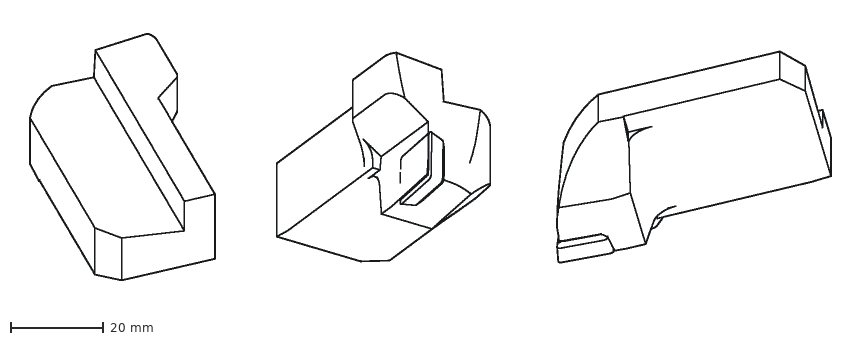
import cadquery as cq
import math

LENGTH = 61.0
WIDTH = 32.8
HEIGHT = 31.7

FRONT_TOP_Z = 26.15
STEP_Y = 19.0
STEP_Z = 23.5
SHANK_BOTTOM_Z = 13.2
SHANK_BACK_Y = 26.1
OVERHANG_Z = 22.25
NECK_TOP_Y = 23.9
NECK_TOP_Z = 16.5
NECK_BOTTOM_Z = 1.0
OVERHANG_SLOPE = (OVERHANG_Z - NECK_TOP_Z) / (WIDTH - NECK_TOP_Y)
RAKE_ANGLE = 4.4

NOSE_START_X = 15.7
NOSE_MIDDLE = (6.5, 7.45)
NOSE_END = (1.3, 20.1)
BACK_CORNER_X = 2.3
BACK_CORNER_R = 4.25
SHOULDER_TOP_X = 19.75
SHOULDER_FOOT_X = 25.35
SHOULDER_R = 1.8
END_CHAMFER = 4.5
END_RISE = 0.55

NECK_BACK_X = 22.5
NECK_FOOT_X = 19.6
GULLET_R = 5.25
OVERHANG_R = 5.25
GULLET_SIDE_Y = 4.0
GULLET_END_X = 21.95
RELIEF_TIP_Z = 2.7
RELIEF_END_X = 15.25
SLANT_X = 21.35
SLANT_TOP_Z = 12.8
SLANT_SLOPE = 0.97
SLANT_FALL = 0.09

NOSE_LINE_START = cq.Vector(2.85, 23.8, 16.5)
NOSE_LINE_STEP = cq.Vector(1.35, -12.55, -0.9)
NOSE_LINE_STEPS = 4
NOSE_UPPER_LEAN = 0.11
NOSE_LOWER_LEAN = 0.13

INSERT_SIDE = 12.55
INSERT_CORNER_R = 0.9
FLANK_DEPTH = 3.3
FLANK_ANGLE = 10.0
BEVEL_DEPTH = 1.0
INSERT_TURN = 5.5
INSERT_CENTER = (6.75, 24.6, 6.75)
NECK_PROUD = 0.25

MARGIN = 12.2


def skew_prism(points, direction):
    """Solid swept from a flat polygon along a free direction."""
    wire = cq.Wire.makePolygon([cq.Vector(*p) for p in points], close=True)
    return cq.Workplane(obj=cq.Solid.extrudeLinear(wire, [], direction))


def plan_prism():
    return (
        cq.Workplane("XY")
        .moveTo(NOSE_START_X, 0)
        .threePointArc(NOSE_MIDDLE, NOSE_END)
        .lineTo(NOSE_END[0], WIDTH - BACK_CORNER_R)
        .lineTo(BACK_CORNER_X, WIDTH - BACK_CORNER_R)
        .radiusArc((BACK_CORNER_X + BACK_CORNER_R, WIDTH), BACK_CORNER_R)
        .lineTo(SHOULDER_TOP_X, WIDTH)
        .lineTo(SHOULDER_FOOT_X, SHANK_BACK_Y)
        .lineTo(LENGTH, SHANK_BACK_Y)
        .lineTo(LENGTH, END_CHAMFER)
        .lineTo(LENGTH - END_CHAMFER, 0)
        .close()
        .extrude(HEIGHT)
        .edges(cq.selectors.NearestToPointSelector((SHOULDER_TOP_X, WIDTH, HEIGHT / 2)))
        .fillet(SHOULDER_R)
    )


UPPER_SECTION = [
    (0, FRONT_TOP_Z),
    (STEP_Y, STEP_Z),
    (STEP_Y, HEIGHT),
    (WIDTH, HEIGHT),
    (WIDTH, OVERHANG_Z),
]


def shank_section():
    overhang_foot_z = OVERHANG_Z - OVERHANG_SLOPE * (WIDTH - SHANK_BACK_Y)
    middle_x = (GULLET_END_X + LENGTH) / 2
    lower = [(SHANK_BACK_Y, overhang_foot_z), (SHANK_BACK_Y, SHANK_BOTTOM_Z), (0, SHANK_BOTTOM_Z)]
    return (
        cq.Workplane("YZ", origin=(GULLET_END_X, 0, 0))
        .polyline(UPPER_SECTION + lower)
        .close()
        .extrude(LENGTH - GULLET_END_X)
        .edges(cq.selectors.NearestToPointSelector((middle_x, SHANK_BACK_Y, overhang_foot_z)))
        .fillet(OVERHANG_R)
    )


def head_section():
    foot_y = NECK_TOP_Y + (NECK_TOP_Z - NECK_BOTTOM_Z) * math.tan(math.radians(RAKE_ANGLE)) + NECK_PROUD
    lower = [(NECK_TOP_Y, NECK_TOP_Z), (foot_y, NECK_BOTTOM_Z), (0, NECK_BOTTOM_Z)]
    return cq.Workplane("YZ").polyline(UPPER_SECTION + lower).close().extrude(SHOULDER_FOOT_X + GULLET_R)


def neck_back_cut():
    """Space under the shank, with a round where the neck meets it."""
    slope = (NECK_BACK_X - NECK_FOOT_X) / (SHANK_BOTTOM_Z - NECK_BOTTOM_Z)
    return (
        cq.Workplane("XZ")
        .polyline([
            (NECK_BACK_X, SHANK_BOTTOM_Z),
            (LENGTH - END_CHAMFER, SHANK_BOTTOM_Z),
            (LENGTH, SHANK_BOTTOM_Z + END_RISE),
            (LENGTH, 0),
            (NECK_FOOT_X - slope * NECK_BOTTOM_Z, 0),
        ])
        .close()
        .extrude(-WIDTH)
        .edges(cq.selectors.NearestToPointSelector((NECK_BACK_X, WIDTH / 2, SHANK_BOTTOM_Z)))
        .fillet(GULLET_R)
    )


def relief_cut():
    """Sloped underside of the neck behind the insert's lower edge."""
    return (
        cq.Workplane("XZ")
        .polyline([(0, 0), (0, RELIEF_TIP_Z), (RELIEF_END_X, NECK_BOTTOM_Z), (RELIEF_END_X, 0)])
        .close()
        .extrude(-WIDTH)
    )


def slant_cut():
    top_z = SLANT_TOP_Z + SLANT_FALL * SLANT_X
    far_y = WIDTH / 2
    profile = [(0, 0, top_z), (0, far_y, top_z - SLANT_SLOPE * far_y), (0, 0, -MARGIN)]
    return skew_prism(profile, cq.Vector(1, 0, -SLANT_FALL) * (NECK_BACK_X + GULLET_R))


def gullet_side_cut():
    """Trim that sets the -Y end of the gullet round back under the shank."""
    return (
        cq.Workplane("XY", origin=(SLANT_X, 0, 0))
        .rect(LENGTH - SLANT_X, GULLET_SIDE_Y, centered=False)
        .extrude(SHANK_BOTTOM_Z)
    )


def nose_cut():
    """Space in front of the two nose planes, swept along the line where they meet."""
    start = NOSE_LINE_START - NOSE_LINE_STEP
    profile = [
        (start.x, start.y, start.z),
        (start.x + NOSE_UPPER_LEAN * HEIGHT, start.y, start.z + HEIGHT),
        (-MARGIN, start.y, start.z + HEIGHT),
        (-MARGIN, start.y, start.z - HEIGHT),
        (start.x - NOSE_LOWER_LEAN * HEIGHT, start.y, start.z - HEIGHT),
    ]
    return skew_prism(profile, NOSE_LINE_STEP * NOSE_LINE_STEPS)


def make_insert():
    """Square insert with sloped flanks and a bevelled back; local Z runs away from the rake face."""
    flank_side = INSERT_SIDE - 2 * FLANK_DEPTH * math.tan(math.radians(FLANK_ANGLE))
    back_side = flank_side - 2 * BEVEL_DEPTH

    def square(side):
        return cq.Sketch().rect(side, side).vertices().fillet(INSERT_CORNER_R)

    def frustum(base_z, base_side, depth, top_side):
        return (
            cq.Workplane("XY", origin=(0, 0, base_z))
            .placeSketch(square(base_side), square(top_side).moved(cq.Location(cq.Vector(0, 0, depth))))
            .loft(ruled=True)
        )

    flank = frustum(0, INSERT_SIDE, FLANK_DEPTH, flank_side)
    back = frustum(FLANK_DEPTH, flank_side, BEVEL_DEPTH, back_side)
    return (
        flank.union(back)
        .rotate((0, 0, 0), (1, 0, 0), 90)
        .rotate((0, 0, 0), (0, 1, 0), INSERT_TURN)
        .rotate((0, 0, 0), (1, 0, 0), RAKE_ANGLE)
        .translate(INSERT_CENTER)
    )


def make_holder(insert):
    return (
        head_section()
        .union(shank_section())
        .intersect(plan_prism())
        .cut(neck_back_cut())
        .cut(relief_cut())
        .cut(slant_cut())
        .cut(gullet_side_cut())
        .cut(nose_cut())
        .cut(insert)
    )


insert = make_insert()
holder = make_holder(insert)
result = cq.Compound.makeCompound([holder.val(), insert.val()])